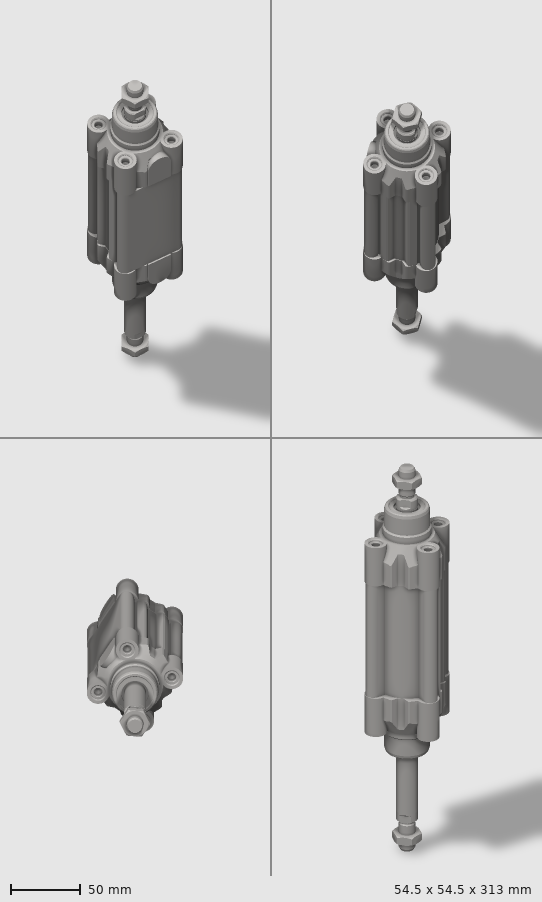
import cadquery as cq
import math

OVERALL_LENGTH = 313.0
CAP_WIDTH = 54.5
BARREL_WIDTH = 52.3
BARREL_LENGTH = 92.3
CAP_LENGTH = 31.3

ROD_DIAMETER = 16.0
ROD_END_DIAMETER = 15.5
ROD_END_LENGTH = 8.0
ROD_CHAMFER = 1.0
THREAD_DIAMETER = 12.0
THREAD_TIP_DIAMETER = 10.0
THREAD_TIP_LENGTH = 2.0
THREAD_ROOT_CHAMFER = 1.0
THREAD_LENGTH = 23.8
NECK_DIAMETER = 10.0
NECK_LENGTH = 1.5
UPPER_ROD_REACH = 31.3
WRENCH_WIDTH = 13.0
WRENCH_LENGTH = 6.0

NUT_ACROSS_FLATS = 19.0
NUT_THICKNESS = 6.5
NUT_TIP_GAP = 7.2
NUT_CHAMFER_ANGLE = 30.0

BOSS_HEIGHT = 22.5
BOSS_DIAMETER = 33.0
BOSS_TAPER_WIDTH = 0.5
BOSS_TAPER_HEIGHT = 2.8
BOSS_EDGE_CHAMFER = 0.5
COLLAR_DIAMETER = 35.0
COLLAR_HEIGHT = 5.3
RECESS_DIAMETER = 26.0
RECESS_DEPTH = 1.0
RECESS_CHAMFER = 0.5
WIPER_DIAMETER = 19.5
WIPER_DEPTH = 3.0

SHOULDER_DIAMETER = 40.0
SHOULDER_SLOPE_ANGLE = 60.0
CORNER_PITCH = 38.2
RIDGE_OUTER_OFFSET = 7.2
RIDGE_INNER_OFFSET = 6.0
RIDGE_REACH = 27.0
VALLEY_OFFSET = 12.2
VALLEY_REACH = 24.5
NOTCH_HALF_WIDTH = 2.2
NOTCH_REACH = 23.2

SCREW_HOLE_MOUTH_DIAMETER = 11.5
SCREW_HOLE_DIAMETER = 10.0
SCREW_HOLE_DEPTH = 1.3
SOCKET_MOUTH_DIAMETER = 7.0
SOCKET_DIAMETER = 6.0
SOCKET_DEPTH = 6.3
SOCKET_TIP_DIAMETER = 5.0
DRILL_POINT_ANGLE = 118.0

PORT_RADIUS = 9.5
PORT_Y = 4.7
PORT_END_GAP = 14.0

BARREL_CORNER_RADIUS = 5.3
BULGE_RADIUS = 23.0
BULGE_HALF_WIDTH = 11.0
BULGE_WALL_OFFSET = 12.2
GROOVE_HALF_WIDTH = 3.8
RAIL_INNER_OFFSET = 7.2
RAIL_OUTER_OFFSET = 8.8
RAIL_REACH = 26.0
FLANK_OFFSET = 13.5
FLANK_REACH = 23.8
GUTTER_REACH = 22.0
GUTTER_WALL_OFFSET = 15.5

cap_half = CAP_WIDTH / 2
post_offset = CORNER_PITCH / 2
post_radius = cap_half - post_offset
barrel_half = BARREL_WIDTH / 2
boss_end = BARREL_LENGTH / 2 + CAP_LENGTH + BOSS_HEIGHT
lower_rod_reach = OVERALL_LENGTH - 2 * boss_end - UPPER_ROD_REACH
rod_radius = ROD_DIAMETER / 2
thread_radius = THREAD_DIAMETER / 2
post_centers = [(sx * post_offset, sy * post_offset) for sx in (-1, 1) for sy in (-1, 1)]


def turn(x, y, quarter_turns):
    """The point (x, y) turned about the origin by a number of quarter turns."""
    for _ in range(quarter_turns):
        x, y = -y, x
    return (x, y)


def solid_of_revolution(profile):
    """Turn a closed list of (radius, z) points about the Z axis."""
    return cq.Workplane("XZ").polyline(profile).close().revolve(360, (0, 0, 0), (0, 1, 0))


def barrel():
    """Flat on +X, bulged on -X and grooved on -Y and +Y, with 45 degree walls at the corners."""
    center = barrel_half - BARREL_CORNER_RADIUS
    lean = BARREL_CORNER_RADIUS * math.sqrt(0.5)
    wall_along = center - lean
    wall_reach = center + lean
    bulge_wall_reach = wall_reach - (wall_along - BULGE_WALL_OFFSET)
    gutter_wall_reach = wall_reach - (wall_along - GUTTER_WALL_OFFSET)
    bulge_edge_reach = math.sqrt(BULGE_RADIUS ** 2 - BULGE_HALF_WIDTH ** 2)
    groove_reach = math.sqrt(BULGE_RADIUS ** 2 - GROOVE_HALF_WIDTH ** 2)

    grooved_half = [
        (wall_along, wall_reach),
        (GUTTER_WALL_OFFSET, gutter_wall_reach),
        (GUTTER_WALL_OFFSET, GUTTER_REACH),
        (FLANK_OFFSET, GUTTER_REACH),
        (FLANK_OFFSET, FLANK_REACH),
        (RAIL_OUTER_OFFSET, RAIL_REACH),
        (RAIL_INNER_OFFSET, RAIL_REACH),
        (GROOVE_HALF_WIDTH, groove_reach),
    ]

    def add_grooved_side(outline, sign):
        """Continue along -Y (sign 1) or +Y (sign -1); the groove floor follows the bulge radius."""
        for along, reach in grooved_half[1:]:
            outline = outline.lineTo(-sign * along, -sign * reach)
        outline = outline.threePointArc(
            (0, -sign * BULGE_RADIUS), (sign * GROOVE_HALF_WIDTH, -sign * groove_reach)
        )
        for along, reach in reversed(grooved_half[:-1]):
            outline = outline.lineTo(sign * along, -sign * reach)
        return outline

    outline = cq.Workplane("XY", origin=(0, 0, -BARREL_LENGTH / 2)).moveTo(-wall_along, -wall_reach)
    outline = add_grooved_side(outline, 1)
    outline = (
        outline.threePointArc((wall_reach, -wall_reach), (barrel_half, -center))
        .lineTo(barrel_half, center)
        .threePointArc((wall_reach, wall_reach), (wall_along, wall_reach))
    )
    outline = add_grooved_side(outline, -1)
    outline = (
        outline.threePointArc((-wall_reach, wall_reach), (-wall_reach, wall_along))
        .lineTo(-bulge_wall_reach, BULGE_WALL_OFFSET)
        .lineTo(-bulge_edge_reach, BULGE_HALF_WIDTH)
        .threePointArc((-BULGE_RADIUS, 0), (-bulge_edge_reach, -BULGE_HALF_WIDTH))
        .lineTo(-bulge_wall_reach, -BULGE_WALL_OFFSET)
        .lineTo(-wall_reach, -wall_along)
        .threePointArc((-wall_reach, -wall_reach), (-wall_along, -wall_reach))
        .close()
    )
    return outline.extrude(BARREL_LENGTH)


def cap_core():
    """Notched block whose outer end slopes down from the round shoulder."""
    half_side = [
        (VALLEY_OFFSET, VALLEY_REACH),
        (RIDGE_OUTER_OFFSET, RIDGE_REACH),
        (RIDGE_INNER_OFFSET, RIDGE_REACH),
        (NOTCH_HALF_WIDTH, NOTCH_REACH),
    ]
    side = [(-along, -reach) for along, reach in half_side]
    side += [(along, -reach) for along, reach in reversed(half_side)]
    outline = [turn(x, y, quarter) for quarter in range(4) for x, y in side]
    block = cq.Workplane("XY").polyline(outline).close().extrude(CAP_LENGTH)

    shoulder_radius = SHOULDER_DIAMETER / 2
    base_radius = shoulder_radius + CAP_LENGTH / math.tan(math.radians(SHOULDER_SLOPE_ANGLE))
    slope = solid_of_revolution([
        (0, 0),
        (base_radius, 0),
        (shoulder_radius, CAP_LENGTH),
        (0, CAP_LENGTH),
    ])
    return block.intersect(slope)


def boss():
    """Stepped and chamfered bearing boss standing on the cap."""
    radius = BOSS_DIAMETER / 2
    taper_radius = radius - BOSS_TAPER_WIDTH
    collar_radius = COLLAR_DIAMETER / 2
    top = CAP_LENGTH + BOSS_HEIGHT
    collar_top = CAP_LENGTH + COLLAR_HEIGHT
    return solid_of_revolution([
        (0, CAP_LENGTH),
        (collar_radius, CAP_LENGTH),
        (collar_radius, collar_top),
        (radius, collar_top + collar_radius - radius),
        (radius, top - BOSS_TAPER_HEIGHT),
        (taper_radius, top - BOSS_EDGE_CHAMFER),
        (taper_radius - BOSS_EDGE_CHAMFER, top),
        (0, top),
    ])


def port_pad():
    """Round-ended pad that fills the +X notch down to the barrel."""
    length = CAP_LENGTH - PORT_END_GAP
    depth = cap_half - post_offset
    yz = cq.Workplane("YZ", origin=(post_offset, 0, 0))
    stem = yz.center(PORT_Y, length / 2).rect(2 * PORT_RADIUS, length).extrude(depth)
    return stem.union(yz.center(PORT_Y, length).circle(PORT_RADIUS).extrude(depth))


def screw_hole():
    """Chamfered counterbore, chamfered socket and drill point, cut down from the end of a corner post."""
    mouth_radius = SCREW_HOLE_MOUTH_DIAMETER / 2
    hole_radius = SCREW_HOLE_DIAMETER / 2
    socket_mouth_radius = SOCKET_MOUTH_DIAMETER / 2
    socket_radius = SOCKET_DIAMETER / 2
    tip_radius = SOCKET_TIP_DIAMETER / 2
    point_depth = tip_radius / math.tan(math.radians(DRILL_POINT_ANGLE / 2))
    ledge = CAP_LENGTH - SCREW_HOLE_DEPTH
    socket_floor = CAP_LENGTH - SOCKET_DEPTH
    return solid_of_revolution([
        (0, CAP_LENGTH),
        (mouth_radius, CAP_LENGTH),
        (hole_radius, CAP_LENGTH - (mouth_radius - hole_radius)),
        (hole_radius, ledge),
        (socket_mouth_radius, ledge),
        (socket_radius, ledge - (socket_mouth_radius - socket_radius)),
        (socket_radius, socket_floor),
        (tip_radius, socket_floor),
        (0, socket_floor - point_depth),
    ])


def rod_bore():
    """Rod bore with the wiper seat and the shallow chamfered recess in the boss face."""
    top = CAP_LENGTH + BOSS_HEIGHT
    return solid_of_revolution([
        (0, 0),
        (rod_radius, 0),
        (rod_radius, top - WIPER_DEPTH),
        (WIPER_DIAMETER / 2, top - WIPER_DEPTH),
        (WIPER_DIAMETER / 2, top - RECESS_DEPTH),
        (RECESS_DIAMETER / 2, top - RECESS_DEPTH),
        (RECESS_DIAMETER / 2, top - RECESS_CHAMFER),
        (RECESS_DIAMETER / 2 + RECESS_CHAMFER, top),
        (0, top),
    ])


def end_cap():
    posts = cq.Workplane("XY").pushPoints(post_centers).circle(post_radius).extrude(CAP_LENGTH)
    cap = cap_core().union(posts).union(port_pad()).union(boss()).cut(rod_bore())
    for x, y in post_centers:
        cap = cap.cut(screw_hole().translate((x, y, 0)))
    return cap.translate((0, 0, BARREL_LENGTH / 2))


def wrench_flat(shoulder):
    """Cutter for the +X wrench flat, with a 45 degree run-out at its inner end."""
    flat = WRENCH_WIDTH / 2
    run_out = shoulder - WRENCH_LENGTH
    depth = rod_radius - flat
    return (
        cq.Workplane("XZ", origin=(0, rod_radius, 0))
        .polyline([
            (flat, shoulder),
            (flat, run_out),
            (rod_radius, run_out - depth),
            (rod_radius, shoulder),
        ])
        .close()
        .extrude(ROD_DIAMETER)
    )


def rod(reach):
    end_radius = ROD_END_DIAMETER / 2
    tip = boss_end + reach
    shoulder = tip - THREAD_LENGTH
    thread_root = shoulder + NECK_LENGTH
    blank = solid_of_revolution([
        (0, BARREL_LENGTH / 2),
        (rod_radius, BARREL_LENGTH / 2),
        (rod_radius, shoulder - ROD_END_LENGTH),
        (end_radius, shoulder - ROD_END_LENGTH),
        (end_radius, shoulder - ROD_CHAMFER),
        (end_radius - ROD_CHAMFER, shoulder),
        (NECK_DIAMETER / 2, shoulder),
        (NECK_DIAMETER / 2, thread_root),
        (thread_radius, thread_root + THREAD_ROOT_CHAMFER),
        (thread_radius, tip - THREAD_TIP_LENGTH),
        (THREAD_TIP_DIAMETER / 2, tip),
        (0, tip),
    ])
    flat = wrench_flat(shoulder)
    return blank.cut(flat).cut(flat.mirror("YZ"))


def lock_nut(reach):
    corner_radius = NUT_ACROSS_FLATS / math.sqrt(3)
    face_radius = NUT_ACROSS_FLATS / 2
    drop = (corner_radius - face_radius) * math.tan(math.radians(NUT_CHAMFER_ANGLE))
    hexagon = (
        cq.Workplane("XY")
        .polygon(6, 2 * corner_radius)
        .extrude(NUT_THICKNESS)
        .rotate((0, 0, 0), (0, 0, 1), 90)
    )
    rounding = solid_of_revolution([
        (0, 0),
        (face_radius, 0),
        (corner_radius, drop),
        (corner_radius, NUT_THICKNESS - drop),
        (face_radius, NUT_THICKNESS),
        (0, NUT_THICKNESS),
    ])
    thread = cq.Workplane("XY").circle(thread_radius).extrude(NUT_THICKNESS)
    nut = hexagon.intersect(rounding).cut(thread)
    return nut.translate((0, 0, boss_end + reach - NUT_TIP_GAP - NUT_THICKNESS))


bodies = [barrel().val()]
for is_lower, reach in ((False, UPPER_ROD_REACH), (True, lower_rod_reach)):
    for body in (end_cap(), rod(reach), lock_nut(reach)):
        placed = body.mirror("XY") if is_lower else body
        bodies.append(placed.solids().val())

result = cq.Compound.makeCompound(bodies)